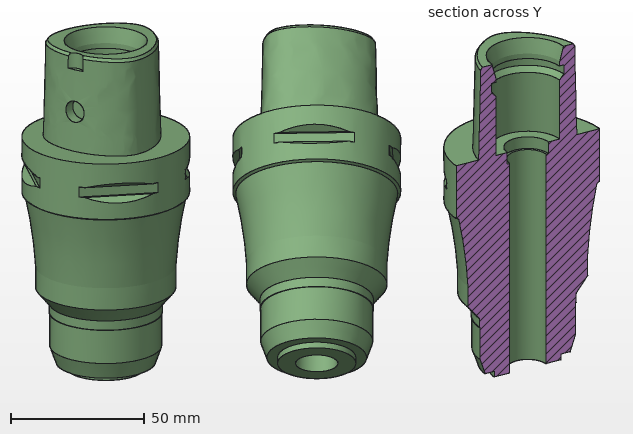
import cadquery as cq
import math

total_height = 130.0
flange_top = 91.9
flange_bottom = 70.0
flange_radius = 31.52

flare_top = 69.3
flare_bottom = 40.7
flare_top_radius = 30.4
flare_mid_radius = 27.8
collar_radius = 26.4
collar_bottom = 32.1
land_top = 26.0
land_bottom = 22.2
land_radius = 21.3
nose_radius = 21.0
nose_bottom = 9.0
nose_cone_radius = 18.7
spigot_top = 2.3
spigot_radius = 14.7

shank_base_radius = 22.1
shank_top_radius = 21.2
lobe_rise = 1.4
shank_chamfer_height = 1.2
shank_chamfer_width = 0.8
outline_points = 72

entry_radius = 15.6
entry_cone_depth = 6.0
undercut_radius = 15.7
undercut_start_depth = 7.9
cone_start_depth = 11.6
cone_end_depth = 13.6
main_bore_radius = 13.9
main_bore_depth = 38.1
middle_bore_radius = 9.0
middle_bore_depth = 42.9
through_bore_radius = 7.9

notch_radius = 4.3
notch_inner_reach = 18.0
notch_depth = 6.0
cross_hole_radius = 4.2
cross_hole_z = 107.5
cross_hole_floor_y = -15.6

groove_count = 4
groove_first_angle = 45.0
groove_z = 80.2
groove_floor_distance = 27.7
groove_bevel_distance = 28.7
groove_floor_height = 3.9
groove_mouth_height = 7.8


def turned_body():
    """Flange and everything below it, revolved about Z."""
    flare_middle = (flare_top + flare_bottom) / 2
    return (
        cq.Workplane("XZ")
        .moveTo(0, flange_top)
        .lineTo(flange_radius, flange_top)
        .lineTo(flange_radius, flange_bottom)
        .lineTo(flare_top_radius, flare_top)
        .threePointArc((flare_mid_radius, flare_middle), (collar_radius, flare_bottom))
        .lineTo(collar_radius, collar_bottom)
        .lineTo(land_radius, land_top)
        .lineTo(land_radius, land_bottom)
        .lineTo(nose_radius, land_bottom)
        .lineTo(nose_radius, nose_bottom)
        .lineTo(nose_cone_radius, spigot_top)
        .lineTo(spigot_radius, spigot_top)
        .lineTo(spigot_radius, 0)
        .lineTo(0, 0)
        .close()
        .revolve(360, (0, 0), (0, 1))
    )


def lobed_outline(mean_radius, z):
    """Constant-width three-lobed outline with one lobe pointing along +Y."""
    def point(index):
        angle = 2 * math.pi * index / outline_points
        reach = mean_radius - lobe_rise * math.sin(3 * angle)
        slope = -3 * lobe_rise * math.cos(3 * angle)
        x = reach * math.cos(angle) - slope * math.sin(angle)
        y = reach * math.sin(angle) + slope * math.cos(angle)
        return cq.Vector(x, y, z)

    points = [point(index) for index in range(outline_points)]
    return cq.Wire.assembleEdges([cq.Edge.makeSpline(points, periodic=True)])


def lobed_shank():
    """Tapered shank with a chamfered rim."""
    chamfer_z = total_height - shank_chamfer_height
    base = lobed_outline(shank_base_radius, flange_top)
    shoulder = lobed_outline(shank_top_radius, chamfer_z)
    rim = lobed_outline(shank_top_radius - shank_chamfer_width, total_height)
    taper = cq.Solid.makeLoft([base, shoulder], True)
    chamfer = cq.Solid.makeLoft([shoulder, rim], True)
    return cq.Workplane(taper).union(cq.Workplane(chamfer))


def stepped_bore():
    """Entry cone, undercut, lower cone and the smaller bores running out of the nose."""
    entry_bottom = total_height - entry_cone_depth
    undercut_top = total_height - undercut_start_depth
    cone_top = total_height - cone_start_depth
    cone_bottom = total_height - cone_end_depth
    main_floor = total_height - main_bore_depth
    middle_floor = total_height - middle_bore_depth
    return (
        cq.Workplane("XZ")
        .moveTo(0, total_height)
        .lineTo(entry_radius, total_height)
        .lineTo(main_bore_radius, entry_bottom)
        .lineTo(main_bore_radius, undercut_top)
        .lineTo(undercut_radius, undercut_top)
        .lineTo(undercut_radius, cone_top)
        .lineTo(main_bore_radius, cone_bottom)
        .lineTo(main_bore_radius, main_floor)
        .lineTo(middle_bore_radius, main_floor)
        .lineTo(middle_bore_radius, middle_floor)
        .lineTo(through_bore_radius, middle_floor)
        .lineTo(through_bore_radius, 0)
        .lineTo(0, 0)
        .close()
        .revolve(360, (0, 0), (0, 1))
    )


def rim_notch():
    """Round-backed notch cut down from the shank face."""
    return (
        cq.Workplane("XY")
        .workplane(offset=total_height - notch_depth)
        .center(0, -notch_inner_reach - notch_radius)
        .circle(notch_radius)
        .extrude(notch_depth)
    )


def cross_hole():
    """Flat-bottomed hole entering from -Y."""
    return (
        cq.Workplane("XZ", origin=(0, cross_hole_floor_y, cross_hole_z))
        .circle(cross_hole_radius)
        .extrude(flange_radius + cross_hole_floor_y)
    )


def gripper_groove(angle):
    """Straight slot with bevelled mouth across the flange rim."""
    floor_half = groove_floor_height / 2
    mouth_half = groove_mouth_height / 2
    return (
        cq.Workplane("XZ")
        .moveTo(groove_floor_distance, groove_z - floor_half)
        .lineTo(groove_bevel_distance, groove_z - floor_half)
        .lineTo(flange_radius, groove_z - mouth_half)
        .lineTo(flange_radius, groove_z + mouth_half)
        .lineTo(groove_bevel_distance, groove_z + floor_half)
        .lineTo(groove_floor_distance, groove_z + floor_half)
        .close()
        .extrude(flange_radius, both=True)
        .rotate((0, 0, 0), (0, 0, 1), angle)
    )


result = turned_body().union(lobed_shank())
result = result.cut(stepped_bore())
result = result.cut(rim_notch())
result = result.cut(cross_hole())
for index in range(groove_count):
    result = result.cut(gripper_groove(groove_first_angle + index * 360 / groove_count))